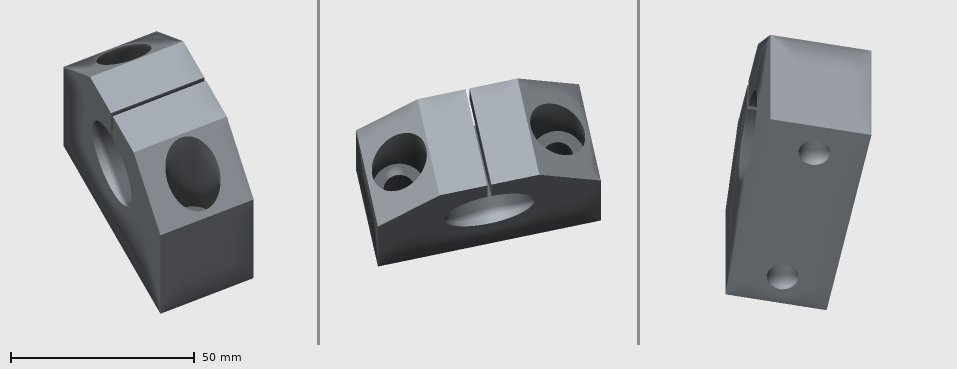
import cadquery as cq

width = 62.0
depth = 28.0
height = 54.0
corner_chamfer = 17.1

bore_diameter = 25.0
bore_height = 31.0
slit_width = 1.1

hole_spacing = 44.0
hole_diameter = 8.6
counterbore_diameter = 15.0
counterbore_floor = 20.0


def clamp_block():
    """Block centred on X and Y, standing on Z = 0, with sloped upper corners."""
    block = cq.Workplane("XY").box(width, depth, height, centered=(True, True, False))
    return block.faces(">Z").edges("|Y").chamfer(corner_chamfer)


def shaft_bore():
    """Horizontal bore along Y."""
    return (
        cq.Workplane("XZ")
        .center(0, bore_height)
        .circle(bore_diameter / 2)
        .extrude(depth / 2, both=True)
    )


def clamping_slit():
    """Thin slit from the bore axis up through the top face."""
    return (
        cq.Workplane("XY")
        .workplane(offset=bore_height)
        .rect(slit_width, depth)
        .extrude(height - bore_height)
    )


def mounting_hole(x):
    """Vertical through hole with a counterbore opening in the sloped corner."""
    through = cq.Workplane("XY").center(x, 0).circle(hole_diameter / 2).extrude(height)
    counterbore = (
        cq.Workplane("XY")
        .workplane(offset=counterbore_floor)
        .center(x, 0)
        .circle(counterbore_diameter / 2)
        .extrude(height - counterbore_floor)
    )
    return through.union(counterbore)


result = clamp_block().cut(shaft_bore()).cut(clamping_slit())
for side in (-1, 1):
    result = result.cut(mounting_hole(side * hole_spacing / 2))